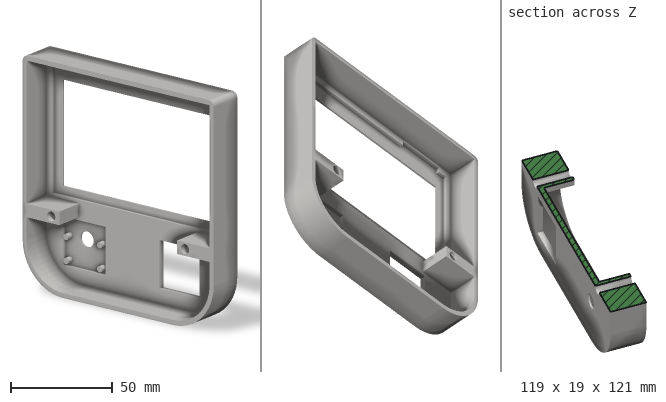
import cadquery as cq

width = 119.0
depth = 19.0
height = 121.0
wall = 2.5
panel_thickness = 3.0
top_radius = 3.0
bottom_radius = 25.4

recess_depth = 2.0

seat_width = 106.6
seat_bottom = 46.1
seat_top = 114.5
notch_left = 22.6
notch_right = 48.4
notch_top = 117.1
window_width = 96.9
window_bottom = 50.5
window_top = 105.6

post_inner_x = 36.7
post_bottom = 37.3
post_top = 44.3
screw_x = 41.6
screw_diameter = 5.1

lower_bottom = 10.4
lower_top = 35.6
module_left = -46.3
module_right = -20.3
opening_left = 13.4
opening_right = 38.4
shaft_diameter = 8.1
shaft_z = 25.9
pin_diameter = 3.1
pin_length = 3.5
pin_spacing_x = 20.9
pin_rows = (13.4, shaft_z)

floor_y = depth - panel_thickness
recess_y = floor_y + recess_depth
module_x = (module_left + module_right) / 2


def block(left, right, bottom, top, front, back):
    """Box given by its limits along X, Z and Y."""
    size = (right - left, back - front, top - bottom)
    return cq.Workplane("XY").box(*size, centered=False).translate((left, front, bottom))


def cylinder(x, z, diameter, front, back):
    """Round bar parallel to Y."""
    axis = cq.Vector(0, 1, 0)
    start = cq.Vector(x, front, z)
    return cq.Workplane(cq.Solid.makeCylinder(diameter / 2, back - front, start, axis))


def make_shell():
    """Open tray with sharp inner top corners and large rounded lower corners."""
    half = width / 2
    outer = block(-half, half, 0, height, 0, depth)
    outer = outer.edges("|Y and >Z").fillet(top_radius)
    outer = outer.edges("|Y and <Z").fillet(bottom_radius)
    inner_half = half - wall
    cavity = block(-inner_half, inner_half, wall, height - wall, 0, floor_y)
    cavity = cavity.edges("|Y and <Z").fillet(bottom_radius - wall)
    return outer.cut(cavity)


def add_posts(body):
    """Screw posts flush with the rim, drilled through the panel."""
    outer_x = (width - wall) / 2
    body = body.union(block(-outer_x, -post_inner_x, post_bottom, post_top, 0, floor_y))
    body = body.union(block(post_inner_x, outer_x, post_bottom, post_top, 0, floor_y))
    screw_z = (post_bottom + post_top) / 2
    for x in (-screw_x, screw_x):
        body = body.cut(cylinder(x, screw_z, screw_diameter, 0, depth))
    return body


def cut_screen(body):
    """Notched screen seat around the through window."""
    seat_half = seat_width / 2
    window_half = window_width / 2
    body = body.cut(block(-seat_half, seat_half, seat_bottom, seat_top, floor_y, recess_y))
    body = body.cut(block(notch_left, notch_right, seat_top, notch_top, floor_y, recess_y))
    return body.cut(block(-window_half, window_half, window_bottom, window_top, floor_y, depth))


def add_module_mount(body):
    """Recess with a shaft hole and four locating pins standing on its floor."""
    body = body.cut(block(module_left, module_right, lower_bottom, lower_top, floor_y, recess_y))
    body = body.cut(cylinder(module_x, shaft_z, shaft_diameter, floor_y, depth))
    for x in (module_x - pin_spacing_x / 2, module_x + pin_spacing_x / 2):
        for z in pin_rows:
            body = body.union(cylinder(x, z, pin_diameter, recess_y - pin_length, recess_y))
    return body


def cut_square_opening(body):
    return body.cut(block(opening_left, opening_right, lower_bottom, lower_top, floor_y, depth))


result = make_shell()
result = add_posts(result)
result = cut_screen(result)
result = add_module_mount(result)
result = cut_square_opening(result)